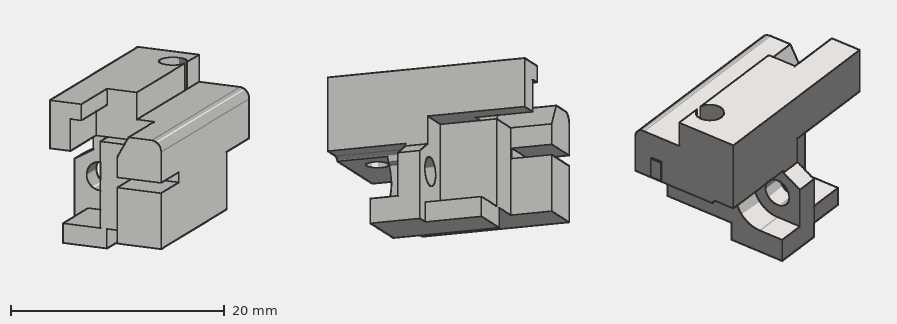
import cadquery as cq
import math

width = 13.4
length = 19.8
height = 15.05

block_left = 1.95
block_bottom = 7.52
plateau_z = 12.42
rail_right = 8.25
edge_radius = 1.0

lower_back = 14.75
body_bottom = 1.92
foot_right = 5.95
lug_front = 9.75
lug_chamfer_low = 6.55
lug_chamfer_high = 7.68

recess_right = 5.25
recess_top = 10.35
recess_foot_left = 1.4
web_front = 4.12

slot_back = 5.78
arm_right = 5.2
arm_undercut_x = 4.05
arm_step_z = 13.48
leg_left = 8.88
leg_chamfer_x = 10.05

slit_depth = 4.0
slit_bottom = 7.38
slit_top = 8.38

bolt_x = 2.65
bolt_z = 5.15
bolt_diameter = 2.75
pocket_front = 11.98
pocket_radius = bolt_diameter
pocket_corner_radius = 0.55
pocket_slope = math.radians(30)
slope_end_x = 4.65
slope_end_z = 7.1
bore_start_z = 6.85

top_hole_x = 6.95
top_hole_y = 16.75
top_hole_diameter = 2.65
top_hole_floor = 10.4
lower_hole_diameter = 2.2
countersink_diameter = 2.3
countersink_shift = 0.1

pad_left = 10.28
pad_right = 11.45
pad_bottom = 7.75
pad_top = 9.8
pad_thickness = 0.2


def box(x0, x1, y0, y1, z0, z1):
    """Axis-aligned block between two opposite corners."""
    return cq.Workplane("XY").box(x1 - x0, y1 - y0, z1 - z0, centered=False).translate((x0, y0, z0))


def extrude_y(profile, y0, y1):
    """Extrude a closed XZ profile from y0 to y1."""
    return profile.extrude(y0 - y1).translate((0, y0, 0))


def upper_block():
    block = box(block_left, width, 0, length, block_bottom, plateau_z)
    block = block.edges("|Y and >X and >Z").fillet(edge_radius)
    return block.union(box(block_left, rail_right, 0, length, block_bottom, height))


def lower_body():
    body = box(block_left, width, 0, lower_back, body_bottom, block_bottom)
    foot = box(0, foot_right, web_front, lower_back, 0, body_bottom)
    lug_profile = cq.Workplane("XZ").polyline([
        (0, 0),
        (0, lug_chamfer_low),
        (block_left, lug_chamfer_high),
        (foot_right, lug_chamfer_high),
        (foot_right, 0),
    ]).close()
    return body.union(foot).union(extrude_y(lug_profile, lug_front, lower_back))


def left_recess():
    above_foot = box(0, recess_right, 0, lug_front, body_bottom, recess_top)
    beside_foot = box(0, recess_foot_left, 0, lug_front, 0, body_bottom)
    return above_foot.union(beside_foot)


def front_slot():
    """Chamfered slot with an undercut below the arm, and the opening under its floor."""
    profile = cq.Workplane("XZ").polyline([
        (arm_right, height),
        (arm_right, arm_step_z),
        (arm_undercut_x, arm_step_z),
        (arm_undercut_x, recess_top),
        (leg_left, recess_top),
        (leg_chamfer_x, plateau_z),
        (leg_chamfer_x, height),
    ]).close()
    opening = box(arm_undercut_x, leg_left, 0, web_front, 0, recess_top)
    return extrude_y(profile, 0, slot_back).union(opening)


def leg_slit():
    return box(leg_left, width, 0, slit_depth, slit_bottom, slit_top)


def bolt_hole():
    circle = cq.Workplane("XZ").center(bolt_x, bolt_z).circle(bolt_diameter / 2)
    return extrude_y(circle, 0, length)


def bolt_head_pocket():
    """Open-sided pocket: flat ceiling, rounded corner, sloped wall, then the round bore."""
    ceiling = bolt_z + pocket_radius
    slope_start_z = ceiling - pocket_corner_radius * (1 - math.sin(pocket_slope))
    slope_start_x = slope_end_x - (slope_start_z - slope_end_z) * math.tan(pocket_slope)
    corner_x = slope_start_x - pocket_corner_radius * math.cos(pocket_slope)
    bore_start_x = bolt_x + math.sqrt(pocket_radius**2 - (bore_start_z - bolt_z) ** 2)
    profile = (
        cq.Workplane("XZ")
        .moveTo(0, ceiling)
        .lineTo(corner_x, ceiling)
        .tangentArcPoint((slope_start_x, slope_start_z), relative=False)
        .lineTo(slope_end_x, slope_end_z)
        .tangentArcPoint((bore_start_x, bore_start_z), relative=False)
        .threePointArc((bolt_x + pocket_radius, bolt_z), (bolt_x, bolt_z - pocket_radius))
        .lineTo(0, bolt_z - pocket_radius)
        .close()
    )
    return extrude_y(profile, pocket_front, length)


def top_hole():
    upper = (
        cq.Workplane("XY", origin=(top_hole_x, top_hole_y, top_hole_floor))
        .circle(top_hole_diameter / 2)
        .extrude(height - top_hole_floor)
    )
    lower = (
        cq.Workplane("XY", origin=(top_hole_x, top_hole_y, 0))
        .circle(lower_hole_diameter / 2)
        .extrude(top_hole_floor)
    )
    countersink_radius = countersink_diameter / 2
    countersink = cq.Solid.makeCone(
        countersink_radius,
        0,
        countersink_radius,
        cq.Vector(top_hole_x - countersink_shift, top_hole_y, top_hole_floor),
        cq.Vector(0, 0, -1),
    )
    return upper.union(lower).union(cq.Workplane(countersink))


def make_housing():
    housing = upper_block().union(lower_body())
    for cutter in (left_recess(), front_slot(), leg_slit(), bolt_hole(), bolt_head_pocket(), top_hole()):
        housing = housing.cut(cutter)
    return housing


def make_pad():
    return box(pad_left, pad_right, length, length + pad_thickness, pad_bottom, pad_top)


housing = make_housing()
pad = make_pad()

result = cq.Compound.makeCompound([housing.solids().val(), pad.val()])